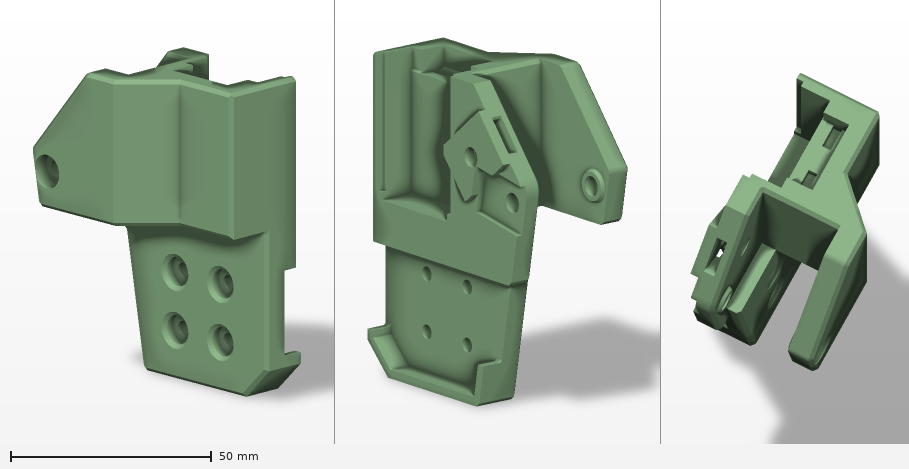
import cadquery as cq
import math

HEIGHT = 82.3
RIGHT = 59.35
EDGE_CHAMFER = 1.0
SIDE_TILT = math.tan(math.radians(10))
DIAGONAL_TILT = math.tan(math.radians(40))

BODY_BOTTOM = 44.5
WING_BOTTOM = 33.2
LIP_TOP = 10.95

FRONT_WING_BACK = 6.7
STEP_FRONT = 11.7
PLATE_FRONT = 24.2
PLATE_BACK = 30.45
REAR_WING_FRONT = 28.1
BODY_BACK = 34.5
LIP_BACK = 36.2
PAD_BACK = 36.7

CORNER_X = -0.13
CORNER_Z = 59.0
FRONT_CORNER_RADIUS = 2.0
REAR_CORNER_RADIUS = 5.8

SLOPE_START_X = 29.5

GAP_WALL_BOTTOM_X = 26.7
GAP_WALL_TOP_X = 27.1

PLATE_LEFT_AT_TOP = 7.25
PLATE_CORNER_CUT = 8.15
RIM_WALL = 2.2
LIP_FILLET = 0.8
SCREW_X = 26.8
SCREW_Z = 12.6
SCREW_PITCH_X = 16.05
SCREW_PITCH_Z = 15.0
SCREW_HOLE = 3.8
SCREW_HEAD = 7.5
SCREW_HEAD_DEPTH = 3.0

PIN_X = 5.9
PIN_Z = 54.2
PIN_HOLE = 5.2
PIN_HEAD = 8.7
PIN_HEAD_DEPTH = 4.0
BOSS_HEIGHT = 1.0
BOSS_TAPER = 0.6
FRONT_BOSS = 8.7
REAR_BOSS = 7.5

PAD_RIGHT = 28.5
PAD_TOP = 76.6
PAD_LOWER = 64.9
PAD_LENGTH = 19.75
RECESS_DEPTH = 1.65
RECESS_BOTTOM = 46.6
RECESS_TOP = 59.5
RECESS_WIDTH = 16.4

BOLT_X = 17.6
BOLT_Z = 64.1
BOLT_HOLE = 5.2
NUT_SLOT_FRONT = 30.8
NUT_SLOT_WIDTH = 2.9
NUT_SLOT_LENGTH = 9.7
NUT_SLOT_BEVEL = 0.5
NUT_SLOT_PAST_BOLT = 4.9

POCKET_LEFT = 29.9
POCKET_RIGHT = 56.0
POCKET_FRONT = 24.4
POCKET_BOTTOM = BODY_BOTTOM
SHELF_LEFT = 33.0
SHELF_RIGHT = 52.5
SHELF_FRONT = 17.2
SHELF_DEPTH = 6.0
POCKET_RAMP = 0.5
COVER_REBATE = 1.3
COVER_REBATE_DEPTH = 1.9
COVER_REBATE_BOTTOM = POCKET_BOTTOM + 2.0
SHELF_SLOT_LENGTH = 6.2
SHELF_SLOT_FRONT = 19.1
SHELF_SLOT_WIDTH = 2.5
SHELF_SLOT_DEPTH = 2.5

OVERCUT = 4.1


def prism(points, y_front, y_back):
    """Outline in X and Z, extruded from y_front back to y_back."""
    plane = cq.Workplane("XZ", origin=(0, y_front, 0))
    return plane.polyline(points).close().extrude(y_front - y_back)


def box(x_range, y_range, z_range):
    """Box from (low, high) limits along each axis."""
    sizes = [high - low for low, high in (x_range, y_range, z_range)]
    corner = cq.Workplane("XY", origin=(x_range[0], y_range[0], z_range[0]))
    return corner.box(*sizes, centered=False)


def rod(x, z, diameter, y_front, y_back):
    """Cylinder along Y."""
    plane = cq.Workplane("XZ", origin=(x, y_front, z))
    return plane.circle(diameter / 2).extrude(y_front - y_back)


def cone(x, z, y_base, base_radius, y_tip, tip_radius):
    """Truncated cone along Y."""
    direction = cq.Vector(0, math.copysign(1, y_tip - y_base), 0)
    base = cq.Vector(x, y_base, z)
    solid = cq.Solid.makeCone(base_radius, tip_radius, abs(y_tip - y_base), base, direction)
    return cq.Workplane(solid)


def bevel_front(part, below=math.inf):
    """Chamfer the outer edges of the faces that look forward, up to a level."""
    seen = {}
    for face in part.faces().vals():
        if face.normalAt().y < -0.5:
            for edge in face.Edges():
                seen.setdefault(edge.hashCode(), []).append(edge)
    rim = [edges[0] for edges in seen.values() if len(edges) == 1]
    rim = [edge for edge in rim if edge.Center().z < below]
    return part.newObject(rim).chamfer(EDGE_CHAMFER)


def side_x(z):
    """Left edge of both wings below their corner."""
    return CORNER_X + (CORNER_Z - z) * SIDE_TILT


def diagonal_x(z):
    """Left edge of both wings above their corner."""
    return CORNER_X + (z - CORNER_Z) * DIAGONAL_TILT


def wing_outline(bottom, right):
    return [
        (right, bottom),
        (side_x(bottom) + EDGE_CHAMFER, bottom),
        (side_x(bottom + EDGE_CHAMFER), bottom + EDGE_CHAMFER),
        (CORNER_X, CORNER_Z),
        (diagonal_x(HEIGHT), HEIGHT),
        (right, HEIGHT),
    ]


def edge_at(x, z):
    """Selector for the edge along Y that passes through a point in X and Z."""
    reach = 0.1
    low = (x - reach, -HEIGHT, z - reach)
    return cq.selectors.BoxSelector(low, (x + reach, HEIGHT, z + reach))


def make_body():
    step_x = SLOPE_START_X + STEP_FRONT
    plan = [
        (CORNER_X - OVERCUT, 0),
        (SLOPE_START_X, 0),
        (step_x, STEP_FRONT),
        (RIGHT, STEP_FRONT),
        (RIGHT, BODY_BACK),
        (GAP_WALL_BOTTOM_X, BODY_BACK),
        (GAP_WALL_BOTTOM_X, FRONT_WING_BACK),
        (CORNER_X - OVERCUT, FRONT_WING_BACK),
    ]
    base = cq.Workplane("XY", origin=(0, 0, BODY_BOTTOM))
    body = base.polyline(plan).close().extrude(HEIGHT - BODY_BOTTOM)
    body = body.intersect(prism(wing_outline(BODY_BOTTOM, RIGHT), 0, BODY_BACK))
    for corner in ((CORNER_X, CORNER_Z), (diagonal_x(HEIGHT), HEIGHT)):
        body = body.edges(edge_at(*corner)).fillet(FRONT_CORNER_RADIUS)
    body = bevel_front(body)
    return body.faces(">X").edges(">Z").chamfer(EDGE_CHAMFER)


def make_rear_wing():
    wing = prism(wing_outline(WING_BOTTOM, RIGHT - EDGE_CHAMFER), REAR_WING_FRONT, BODY_BACK)
    wing = wing.edges(edge_at(CORNER_X, CORNER_Z)).fillet(REAR_CORNER_RADIUS)
    wing = bevel_front(wing)
    return wing.union(box(
        (GAP_WALL_TOP_X, RIGHT), (REAR_WING_FRONT, BODY_BACK), (WING_BOTTOM, BODY_BOTTOM)))


def cut_gap(part):
    bevel_start = HEIGHT - EDGE_CHAMFER
    draft = prism([
        (GAP_WALL_BOTTOM_X, BODY_BOTTOM),
        (GAP_WALL_TOP_X, bevel_start),
        (GAP_WALL_TOP_X + EDGE_CHAMFER, HEIGHT),
        (GAP_WALL_BOTTOM_X, HEIGHT),
    ], FRONT_WING_BACK, REAR_WING_FRONT)
    depth = REAR_WING_FRONT - STEP_FRONT
    flare = (
        cq.Workplane("XY", origin=(0, STEP_FRONT, bevel_start))
        .rect(GAP_WALL_TOP_X, depth, centered=False)
        .extrude(EDGE_CHAMFER, taper=-45)
    )
    return part.cut(draft).cut(flare)


def plate_left(z):
    return PLATE_LEFT_AT_TOP + (BODY_BOTTOM - z) * SIDE_TILT


def make_plate():
    outline = [
        (plate_left(0) + EDGE_CHAMFER, 0),
        (RIGHT - PLATE_CORNER_CUT, 0),
        (RIGHT, PLATE_CORNER_CUT),
        (RIGHT, BODY_BOTTOM),
        (PLATE_LEFT_AT_TOP, BODY_BOTTOM),
        (plate_left(EDGE_CHAMFER), EDGE_CHAMFER),
    ]
    plate = prism(outline, PLATE_FRONT, LIP_BACK)
    clearance = box(
        (0, RIGHT), (PLATE_BACK, LIP_BACK), (LIP_TOP, BODY_BOTTOM))
    clearance = clearance.edges("<Y and <Z").fillet(LIP_FILLET)
    plate = bevel_front(plate.cut(clearance), below=BODY_BOTTOM - EDGE_CHAMFER)
    inside = cq.Workplane("XZ", origin=(0, PLATE_BACK, 0)).polyline(outline).close()
    return plate.cut(inside.offset2D(-RIM_WALL).extrude(PLATE_BACK - LIP_BACK))


def cut_screw_holes(part):
    bevel = (SCREW_HEAD / 2 + EDGE_CHAMFER, SCREW_HEAD / 2)
    for column in range(2):
        for row in range(2):
            x = SCREW_X + column * SCREW_PITCH_X
            z = SCREW_Z + row * SCREW_PITCH_Z
            part = part.cut(rod(x, z, SCREW_HOLE, PLATE_FRONT, PLATE_BACK))
            part = part.cut(rod(x, z, SCREW_HEAD, PLATE_FRONT, PLATE_FRONT + SCREW_HEAD_DEPTH))
            part = part.cut(cone(x, z, PLATE_FRONT, bevel[0], PLATE_FRONT + EDGE_CHAMFER, bevel[1]))
    return part


def make_pad():
    """Rectangle square to the diagonal edge, cut off upright at its right corner."""
    lower = cq.Vector(diagonal_x(PAD_LOWER), 0, PAD_LOWER)
    upper = cq.Vector(diagonal_x(PAD_TOP), 0, PAD_TOP)
    inward = cq.Vector(1, 0, -DIAGONAL_TILT).normalized() * PAD_LENGTH
    corners = [lower, upper, upper + inward, lower + inward]
    pad = prism([(corner.x, corner.z) for corner in corners], BODY_BACK, PAD_BACK)
    return pad.intersect(box((0, PAD_RIGHT), (BODY_BACK, PAD_BACK), (0, HEIGHT)))


def make_recess():
    """Rectangle square to the left edge, reaching out past that edge."""
    lower = cq.Vector(side_x(RECESS_BOTTOM), 0, RECESS_BOTTOM)
    upper = cq.Vector(side_x(RECESS_TOP), 0, RECESS_TOP)
    inward = cq.Vector(1, 0, SIDE_TILT).normalized()
    deep = inward * RECESS_WIDTH
    outside = inward * -OVERCUT
    corners = [lower + outside, upper + outside, upper + deep, lower + deep]
    return prism([(corner.x, corner.z) for corner in corners], BODY_BACK - RECESS_DEPTH, PAD_BACK)


def add_hinge(part):
    for y_base, diameter, height in (
        (FRONT_WING_BACK, FRONT_BOSS, BOSS_HEIGHT),
        (REAR_WING_FRONT, REAR_BOSS, -BOSS_HEIGHT),
    ):
        radius = diameter / 2
        part = part.union(cone(PIN_X, PIN_Z, y_base, radius, y_base + height, radius - BOSS_TAPER))
    part = part.cut(rod(PIN_X, PIN_Z, PIN_HOLE, 0, BODY_BACK))
    return part.cut(rod(PIN_X, PIN_Z, PIN_HEAD, 0, PIN_HEAD_DEPTH))


def cut_nut_slot(part):
    inward = cq.Vector(1, 0, -DIAGONAL_TILT).normalized()
    reach = (BOLT_X - diagonal_x(BOLT_Z)) * inward.x
    bolt = cq.Vector(BOLT_X, NUT_SLOT_FRONT, BOLT_Z)
    mouth = bolt - inward * reach
    half = NUT_SLOT_LENGTH / 2
    depth = reach + NUT_SLOT_PAST_BOLT
    slot = (
        cq.Workplane(cq.Plane(origin=mouth, xDir=inward, normal=(0, 1, 0)))
        .polyline([
            (0, half + NUT_SLOT_BEVEL),
            (NUT_SLOT_BEVEL, half),
            (depth, half),
            (depth, -half),
            (NUT_SLOT_BEVEL, -half),
            (0, -half - NUT_SLOT_BEVEL),
        ])
        .close()
        .extrude(NUT_SLOT_WIDTH)
    )
    return part.cut(slot).cut(rod(BOLT_X, BOLT_Z, BOLT_HOLE, REAR_WING_FRONT, PAD_BACK))


def bevelled_pocket(x_range, front, back, floor, ramp_z):
    """Pocket whose front wall steps back by a 45 degree ramp ending at ramp_z."""
    profile = [
        (front, HEIGHT),
        (front, ramp_z + POCKET_RAMP),
        (front + POCKET_RAMP, ramp_z),
        (front + POCKET_RAMP, floor),
        (back, floor),
        (back, HEIGHT),
    ]
    if floor == ramp_z:
        profile.remove((front + POCKET_RAMP, floor))
    plane = cq.Workplane("YZ", origin=(x_range[0], 0, 0))
    return plane.polyline(profile).close().extrude(x_range[1] - x_range[0])


def cut_pocket(part):
    shelf = HEIGHT - SHELF_DEPTH
    part = part.cut(bevelled_pocket(
        (POCKET_LEFT, POCKET_RIGHT), POCKET_FRONT, BODY_BACK, POCKET_BOTTOM, shelf))
    part = part.cut(bevelled_pocket(
        (SHELF_LEFT, SHELF_RIGHT), SHELF_FRONT, BODY_BACK, shelf, shelf))
    part = part.cut(box(
        (POCKET_LEFT - COVER_REBATE, POCKET_RIGHT + COVER_REBATE),
        (BODY_BACK - COVER_REBATE_DEPTH, BODY_BACK),
        (COVER_REBATE_BOTTOM, HEIGHT)))
    for x in (SHELF_LEFT, SHELF_RIGHT - SHELF_SLOT_LENGTH):
        part = part.cut(box(
            (x, x + SHELF_SLOT_LENGTH),
            (SHELF_SLOT_FRONT, SHELF_SLOT_FRONT + SHELF_SLOT_WIDTH),
            (shelf - SHELF_SLOT_DEPTH, shelf)))
    return part


part = cut_gap(make_body().union(make_rear_wing()))
part = part.union(make_plate())
part = cut_screw_holes(part)
part = part.union(make_pad()).cut(make_recess())
part = add_hinge(part)
part = cut_nut_slot(part)
result = cut_pocket(part)